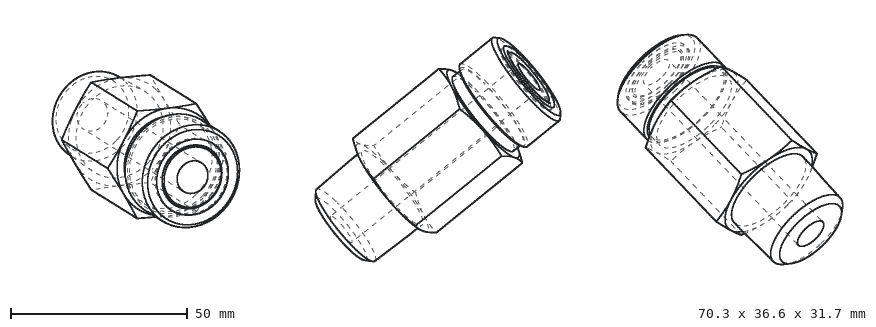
import cadquery as cq
import math

INLET_CHAMFER_END = 1.75
TAPER_END = 14.5
HEX_START = 19.0
HEX_END = 52.8
COLLAR_START = 56.2
COLLAR_FACE = 69.8
OVERALL_LENGTH = 70.3

INLET_FACE_DIAMETER = 22.6
TAPER_START_DIAMETER = 26.2
INLET_DIAMETER = 27.0
HEX_SIDES = 6
HEX_ACROSS_CORNERS = 36.6
HEX_CORNER_BEVEL = 0.9
NECK_DIAMETER = 27.2
COLLAR_DIAMETER = 30.15
COLLAR_BACK_CHAMFER_LENGTH = 0.5
COLLAR_BACK_CHAMFER_HEIGHT = 0.85
COLLAR_FRONT_CHAMFER = 1.1
BORE_DIAMETER = 9.55

GROOVE_OUTER_DIAMETER = 22.3
GROOVE_INNER_DIAMETER = 17.7
RING_CORD = 1.75
GROOVE_FLOOR = OVERALL_LENGTH - RING_CORD
GROOVE_DEPTH = COLLAR_FACE - GROOVE_FLOOR


def revolve_about_x(profile):
    """Turn a closed profile, drawn as (x, radius), about the X axis."""
    return profile.revolve(360, (0, 0, 0), (1, 0, 0))


def disc_plane(x):
    """YZ plane at station x, facing +X."""
    return cq.Workplane("YZ", origin=(x, 0, 0))


def make_turned_blank():
    """Tapered inlet, core, neck and collar as one turned shape."""
    inlet_radius = INLET_DIAMETER / 2
    neck_radius = NECK_DIAMETER / 2
    collar_radius = COLLAR_DIAMETER / 2
    profile = (
        cq.Workplane("XY")
        .moveTo(0, 0)
        .lineTo(0, INLET_FACE_DIAMETER / 2)
        .lineTo(INLET_CHAMFER_END, TAPER_START_DIAMETER / 2)
        .lineTo(TAPER_END, inlet_radius)
        .lineTo(HEX_START, inlet_radius)
        .lineTo(HEX_START, neck_radius)
        .lineTo(COLLAR_START, neck_radius)
        .lineTo(COLLAR_START, collar_radius - COLLAR_BACK_CHAMFER_HEIGHT)
        .lineTo(COLLAR_START + COLLAR_BACK_CHAMFER_LENGTH, collar_radius)
        .lineTo(COLLAR_FACE - COLLAR_FRONT_CHAMFER, collar_radius)
        .lineTo(COLLAR_FACE, collar_radius - COLLAR_FRONT_CHAMFER)
        .lineTo(COLLAR_FACE, 0)
        .close()
    )
    return revolve_about_x(profile)


def make_hexagon():
    """Hexagon with two flats facing up and down and its corners bevelled at both ends."""
    corner_radius = HEX_ACROSS_CORNERS / 2
    flat_radius = corner_radius * math.cos(math.pi / HEX_SIDES)
    prism = disc_plane(HEX_START).polygon(HEX_SIDES, HEX_ACROSS_CORNERS).extrude(HEX_END - HEX_START)
    bevel_envelope = revolve_about_x(
        cq.Workplane("XY")
        .moveTo(HEX_START, 0)
        .lineTo(HEX_START, flat_radius)
        .lineTo(HEX_START + HEX_CORNER_BEVEL, corner_radius)
        .lineTo(HEX_END - HEX_CORNER_BEVEL, corner_radius)
        .lineTo(HEX_END, flat_radius)
        .lineTo(HEX_END, 0)
        .close()
    )
    return prism.intersect(bevel_envelope)


def make_bore():
    """Flow passage through the whole body."""
    return disc_plane(0).circle(BORE_DIAMETER / 2).extrude(COLLAR_FACE)


def make_seal_groove():
    """Annular groove in the collar face that holds the seal ring."""
    return (
        disc_plane(GROOVE_FLOOR)
        .circle(GROOVE_OUTER_DIAMETER / 2)
        .circle(GROOVE_INNER_DIAMETER / 2)
        .extrude(GROOVE_DEPTH)
    )


def make_valve_body():
    blank = make_turned_blank().union(make_hexagon())
    return blank.cut(make_bore()).cut(make_seal_groove())


def make_seal_ring():
    """Round-section ring resting on the floor and the outer wall of the groove."""
    cord_radius = RING_CORD / 2
    cord_centre_radius = GROOVE_OUTER_DIAMETER / 2 - cord_radius
    section = (
        cq.Workplane("XY")
        .center(GROOVE_FLOOR + cord_radius, cord_centre_radius)
        .circle(cord_radius)
    )
    return section.revolve(360, (0, -cord_centre_radius, 0), (1, -cord_centre_radius, 0))


valve_body = make_valve_body()
seal_ring = make_seal_ring()

result = cq.Compound.makeCompound([valve_body.val(), seal_ring.val()])